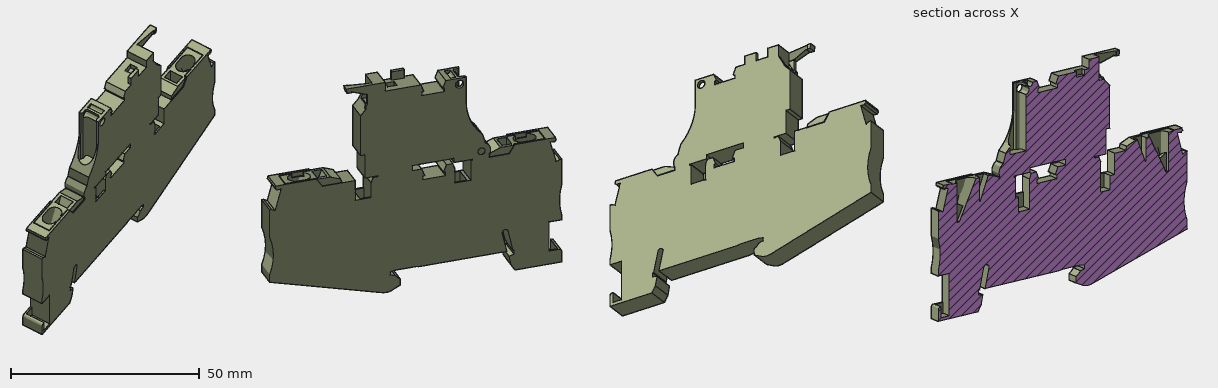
import cadquery as cq
import math

WIDTH = 6.15
LENGTH = 82.5
HEIGHT = 63.38
HALF_WIDTH = WIDTH / 2
HALF_LENGTH = LENGTH / 2

SHOULDER_Z = 37.85
DECK_Z = 35.36
SLOT_FLOOR_Z = 29.4
PLUS_SLOT_Y = (17.06, 12.6)
MINUS_SLOT_Y = (-11.05, -15.55)
DECK_BEVEL_WIDTH = 0.55
DECK_BEVEL_HEIGHT = 1.5
LEDGE_Z = 31.0
GRIP_DEPTH = (1.05, 0.6)
RAIL_SEAT_Z = 6.05
RAIL_RELIEF_Z = 6.22
SHOULDER_INNER_Y = 28.0
SHOULDER_FOOT_Y = 26.35

GROOVE_DEPTH = 3.25
GROOVE_HALF_FLOOR = 3.2
GROOVE_HALF_NECK = 2.65
GROOVE_HALF_MOUTH = 3.5
GROOVE_LIP = 0.95
GROOVE_LIP_RISE = 0.25
DECK_GROOVE_Y = -5.2
PLUG_GROOVE_Y = -4.98

HINGE_Y = -18.6
HINGE_Z = 37.55
HINGE_RADIUS = 2.55
EAR_ROOT_Y = -20.8
PIN_DIAMETER = 2.0
PIN_RECESS = 0.1

WINDOW_Y = ((PLUS_SLOT_Y[1], 15.6), (-14.6, MINUS_SLOT_Y[0]))
WINDOW_X = (-2.6, 2.6)
WINDOW_DEPTH = 4.0

FOOT_NOTCH_Y = -37.65
FOOT_NOTCH_TOP_Z = 12.7
FOOT_TOP_Z = 3.95
FOOT_ROUND_RADIUS = 0.7
FOOT_RIDGE_THICKNESS = 1.0
FOOT_TROUGH_X = -2.55
FOOT_TROUGH_DEPTH = 3.0

SLIT_WIDTH = 1.65
SLIT_TOP = (-25.3, FOOT_NOTCH_TOP_Z - SLIT_WIDTH / 2)
SLIT_BOTTOM = (-26.95, 4.5)
LATCH_TOP_Z = 4.85

INSERT_TOP_Z = SHOULDER_Z - 0.25
INSERT_OUTER_Y = 36.7
INSERT_X = (-2.62, 2.33)
BRIDGE_X = (-2.85, 2.8)
WIRE_HOLE_Y = (28.75, 34.95)
WIRE_HOLE_WIDTH = 3.95
WIRE_HOLE_DEPTH = 11.0
WIRE_HOLE_DRIFT = 5.5
CLAMP_GAP_X = (-0.75, 0.65)
RAMP_TOP_DEPTH = 5.8
RAMP_FOOT_DEPTH = 7.2
RAMP_FOOT_Y = 32.5
RELIEF_Y = (29.9, 33.1)
RELIEF_DEPTH = 1.0
TOOL_HOLE_Y = (24.75, 27.5)
TOOL_HOLE_WIDTH = 3.85
TOOL_HOLE_DEPTH = 7.0

PLUG_TOP_Z = 60.75
PLUG_BOTTOM_Z = 35.6
PLUG_FRONT_Y = -14.3
HOOK_BLOCK_Y = (8.6, 12.0)
CROSS_HOLE_Y = -12.4
CROSS_HOLE_Z = 58.9
CROSS_HOLE_DIAMETER = 2.3
TAB_X = 2.05
TAB_Y = (1.3, 4.9)
TAB_TOP_Z = 63.25
CHANNEL_BACK_Y = -12.3
CHANNEL_END_Y = -17.3
CHANNEL_HALF_WIDTH = 2.15
CHANNEL_FLARE_Y = (-14.4, -13.9)
CHANNEL_MOUTH_HALF_WIDTH = 2.6
CHANNEL_CORNER = 0.6
CHANNEL_FLOOR_Z = 42.0
PLUG_FLANK_START_Z = 53.3
PLUG_FLANK_END = (-18.9, 42.6)
MARKER_SLOT_X = 2.15
MARKER_SLOT_Y = (-11.6, -10.1)
MARKER_SLOT_DEPTH = 1.0
SOCKET_X = (-1.0, 1.1)
SOCKET_Y = (4.55, 7.15)
SOCKET_DEPTH = 1.5
HOOK_POCKET_X = (-2.1, 2.1)
HOOK_POCKET_Y = (HOOK_BLOCK_Y[1], 13.5)
HOOK_POCKET_FLOOR_Z = 56.8
HOOK_ROOT_X = -2.15
HOOK_NECK_X = -1.2
HOOK_TIP_X = -1.0
HOOK_NECK_Y = 18.5
HOOK_TIP_Y = 19.6
SLOPE_TOP_Z = 60.0
BACK_CORNER = (14.1, 56.2)


def box(x_range, y_range, z_range):
    """Axis-aligned block spanning the given ranges."""
    size = [high - low for low, high in (x_range, y_range, z_range)]
    corner = (x_range[0], y_range[0], z_range[0])
    return cq.Workplane("XY").box(*size, centered=False).translate(corner)


def side_plane(x=-HALF_WIDTH):
    """Sketch plane with Y to the right and Z up, facing +X."""
    return cq.Workplane("YZ", origin=(x, 0, 0))


def mirrored_range(y_range, side):
    """Y range on the +Y side (side = 1) or its mirror image (side = -1)."""
    return tuple(sorted(side * y for y in y_range))


def groove_points(center_y, top_z):
    """Undercut jumper groove, listed from its +Y mouth to its -Y mouth."""
    floor_z = top_z - GROOVE_DEPTH
    lip_z = floor_z + GROOVE_LIP
    half = [
        (GROOVE_HALF_MOUTH, top_z),
        (GROOVE_HALF_NECK, lip_z + GROOVE_LIP_RISE),
        (GROOVE_HALF_FLOOR, lip_z),
        (GROOVE_HALF_FLOOR, floor_z),
    ]
    plus_side = [(center_y + y, z) for y, z in half]
    minus_side = [(center_y - y, z) for y, z in reversed(half)]
    return plus_side + minus_side


def end_points(side):
    """Label notch and shoulder of one end, from the ledge up to the deck."""
    points = [
        (HALF_LENGTH, LEDGE_Z),
        (40.7, LEDGE_Z),
        (39.7, 30.5),
        (38.0, 36.7),
        (39.2, 36.6),
        (39.7, 37.1),
        (39.5, SHOULDER_Z),
        (SHOULDER_INNER_Y, SHOULDER_Z),
        (SHOULDER_FOOT_Y, DECK_Z),
    ]
    return [(side * y, z) for y, z in points]


def make_base():
    """Base housing, extruded from its side outline."""
    plus_slot_outer, plus_slot_inner = PLUS_SLOT_Y
    minus_slot_inner, minus_slot_outer = MINUS_SLOT_Y
    deck = [
        (plus_slot_outer, DECK_Z),
        (plus_slot_outer, SLOT_FLOOR_Z),
        (plus_slot_inner, SLOT_FLOOR_Z),
        (plus_slot_inner, DECK_Z - DECK_BEVEL_HEIGHT),
        (plus_slot_inner - DECK_BEVEL_WIDTH, DECK_Z),
        *groove_points(DECK_GROOVE_Y, DECK_Z),
        (minus_slot_inner + DECK_BEVEL_WIDTH, DECK_Z),
        (minus_slot_inner, DECK_Z - DECK_BEVEL_HEIGHT),
        (minus_slot_inner, SLOT_FLOOR_Z),
        (minus_slot_outer, SLOT_FLOOR_Z),
        (minus_slot_outer, DECK_Z),
    ]
    latch_and_rail = [
        (-HALF_LENGTH, 0),
        (-28.0, 0),
        (-26.9, 1.85),
        (-26.35, 4.5),
        (-27.75, LATCH_TOP_Z),
        (-27.75, RAIL_SEAT_Z),
        (-0.85, RAIL_SEAT_Z),
        (-0.3, RAIL_RELIEF_Z),
        (6.0, RAIL_RELIEF_Z),
        (7.15, 5.9),
        (7.15, 5.0),
        (5.8, 4.7),
        (5.1, 3.85),
        (4.35, 3.35),
        (4.35, 1.5),
        (7.0, 0.2),
    ]
    return (
        side_plane()
        .moveTo(HALF_LENGTH, 9.16)
        .lineTo(HALF_LENGTH, 11.55)
        .threePointArc((HALF_LENGTH - GRIP_DEPTH[0], 17.1), (HALF_LENGTH, 22.65))
        .polyline(end_points(1) + deck + end_points(-1)[::-1], includeCurrent=True)
        .lineTo(-HALF_LENGTH, 23.2)
        .threePointArc((GRIP_DEPTH[1] - HALF_LENGTH, 18.75), (-HALF_LENGTH, 14.3))
        .lineTo(-HALF_LENGTH, FOOT_NOTCH_TOP_Z)
        .lineTo(FOOT_NOTCH_Y, FOOT_NOTCH_TOP_Z)
        .lineTo(FOOT_NOTCH_Y, FOOT_TOP_Z)
        .lineTo(FOOT_ROUND_RADIUS - HALF_LENGTH, FOOT_TOP_Z)
        .tangentArcPoint((-HALF_LENGTH, FOOT_TOP_Z - FOOT_ROUND_RADIUS), relative=False)
        .polyline(latch_and_rail, includeCurrent=True)
        .threePointArc((8.2, 0), (9.3, 0.08))
        .close()
        .extrude(WIDTH)
    )


def make_latch_slit():
    """Round-ended slit that frees the spring latch."""
    run_y = SLIT_BOTTOM[0] - SLIT_TOP[0]
    run_z = SLIT_BOTTOM[1] - SLIT_TOP[1]
    across = (-HALF_WIDTH, HALF_WIDTH)
    slit = box(across, (0, math.hypot(run_y, run_z)), (-SLIT_WIDTH / 2, SLIT_WIDTH / 2))
    slit = slit.union(side_plane().circle(SLIT_WIDTH / 2).extrude(WIDTH))
    slit = slit.rotate((0, 0, 0), (1, 0, 0), math.degrees(math.atan2(run_z, run_y)))
    slit = slit.translate((0, *SLIT_TOP))
    above_latch = box(across, (-HALF_LENGTH, 0), (LATCH_TOP_Z, SHOULDER_Z))
    return slit.intersect(above_latch)


def make_foot_trough():
    """Trough behind the rounded ridge of the foot, open towards +X."""
    trough_y = (FOOT_RIDGE_THICKNESS - HALF_LENGTH, FOOT_NOTCH_Y)
    return box((FOOT_TROUGH_X, HALF_WIDTH), trough_y, (FOOT_TOP_Z - FOOT_TROUGH_DEPTH, FOOT_TOP_Z))


def make_wire_hole(side):
    """Round-ended hole with an outward-sloping inner wall, two guide ramps and a side relief."""
    inner_y, outer_y = WIRE_HOLE_Y
    mouth = (
        cq.Workplane("XY", origin=(0, side * (inner_y + outer_y) / 2, INSERT_TOP_Z))
        .slot2D(outer_y - inner_y, WIRE_HOLE_WIDTH, 90)
        .wires()
        .val()
    )
    straight = cq.Solid.extrudeLinear(mouth, [], cq.Vector(0, 0, -WIRE_HOLE_DEPTH))
    tilted = cq.Solid.extrudeLinear(mouth, [], cq.Vector(0, side * WIRE_HOLE_DRIFT, -WIRE_HOLE_DEPTH))
    hole = cq.Workplane(straight).intersect(cq.Workplane(tilted))

    bottom_z = INSERT_TOP_Z - WIRE_HOLE_DEPTH
    ramp_profile = [
        (outer_y, INSERT_TOP_Z - RAMP_TOP_DEPTH),
        (RAMP_FOOT_Y, INSERT_TOP_Z - RAMP_FOOT_DEPTH),
        (RAMP_FOOT_Y, bottom_z),
        (outer_y, bottom_z),
    ]
    for start_x, end_x in ((-HALF_WIDTH, CLAMP_GAP_X[0]), (CLAMP_GAP_X[1], HALF_WIDTH)):
        ramp = (
            side_plane(start_x)
            .polyline([(side * y, z) for y, z in ramp_profile])
            .close()
            .extrude(end_x - start_x)
        )
        hole = hole.cut(ramp)

    relief_z = (INSERT_TOP_Z - RELIEF_DEPTH, INSERT_TOP_Z)
    return hole.union(box((0, INSERT_X[1]), mirrored_range(RELIEF_Y, side), relief_z))


def add_insert(base, side):
    """Connection insert with its wire hole and its tool hole."""
    bridge_profile = [
        (SHOULDER_INNER_Y, INSERT_TOP_Z),
        (24.0, INSERT_TOP_Z),
        (21.1, 36.45),
        (20.75, DECK_Z),
        (SHOULDER_INNER_Y, DECK_Z),
    ]
    bridge = (
        side_plane(BRIDGE_X[0])
        .polyline([(side * y, z) for y, z in bridge_profile])
        .close()
        .extrude(BRIDGE_X[1] - BRIDGE_X[0])
    )
    seat_y = mirrored_range((SHOULDER_FOOT_Y, INSERT_OUTER_Y), side)
    seat = box(INSERT_X, seat_y, (INSERT_TOP_Z, SHOULDER_Z))

    inner_y, outer_y = TOOL_HOLE_Y
    tool_hole = (
        side_plane(-TOOL_HOLE_WIDTH / 2)
        .moveTo(side * inner_y, INSERT_TOP_Z)
        .lineTo(side * outer_y, INSERT_TOP_Z)
        .lineTo(side * outer_y, INSERT_TOP_Z - TOOL_HOLE_DEPTH)
        .close()
        .extrude(TOOL_HOLE_WIDTH)
    )
    return base.cut(seat).union(bridge).cut(make_wire_hole(side)).cut(tool_hole)


def make_plug():
    """Hinged plug body, extruded from its side outline."""
    hook_and_top = [
        (18.0, 62.2),
        (18.1, 62.0),
        (19.35, 62.0),
        (HOOK_TIP_Y, HEIGHT),
        (HOOK_BLOCK_Y[0], HEIGHT),
        (HOOK_BLOCK_Y[0], PLUG_TOP_Z),
    ]
    back = [
        (HINGE_Y, PLUG_BOTTOM_Z),
        (-10.8, PLUG_BOTTOM_Z),
        (-10.8, 36.85),
        (0.9, 36.85),
        (0.9, DECK_Z),
        (10.6, DECK_Z),
        (10.6, PLUG_BOTTOM_Z),
        (14.35, PLUG_BOTTOM_Z),
        (14.35, 42.6),
        (15.6, 42.6),
        (15.6, 54.6),
        BACK_CORNER,
        (14.0, 57.3),
        (13.6, 57.7),
        (13.6, 60.6),
    ]
    return (
        side_plane()
        .polyline(hook_and_top + groove_points(PLUG_GROOVE_Y, PLUG_TOP_Z))
        .lineTo(PLUG_FRONT_Y, PLUG_TOP_Z)
        .lineTo(PLUG_FRONT_Y, PLUG_FLANK_START_Z)
        .tangentArcPoint(PLUG_FLANK_END, relative=False)
        .lineTo(-19.75, 40.0)
        .polyline(back, includeCurrent=True)
        .close()
        .extrude(WIDTH)
    )


def trim_hook(plug):
    """Leave the release hook only along the -X side and open a pocket at its root."""
    block_y = HOOK_BLOCK_Y[1]
    clearance = (
        cq.Workplane("XY", origin=(0, 0, PLUG_TOP_Z))
        .moveTo(HALF_WIDTH, block_y)
        .lineTo(HOOK_ROOT_X, block_y)
        .lineTo(HOOK_NECK_X, HOOK_NECK_Y)
        .lineTo(HOOK_TIP_X, HOOK_NECK_Y)
        .lineTo(HOOK_TIP_X, HOOK_TIP_Y)
        .lineTo(HALF_WIDTH, HOOK_TIP_Y)
        .close()
        .extrude(HEIGHT - PLUG_TOP_Z)
    )
    slope = (
        side_plane(HOOK_ROOT_X)
        .moveTo(block_y, PLUG_TOP_Z)
        .lineTo(block_y, SLOPE_TOP_Z)
        .lineTo(*BACK_CORNER)
        .lineTo(BACK_CORNER[0], PLUG_TOP_Z)
        .close()
        .extrude(HALF_WIDTH - HOOK_ROOT_X)
    )
    pocket = box(HOOK_POCKET_X, HOOK_POCKET_Y, (HOOK_POCKET_FLOOR_Z, PLUG_TOP_Z))
    return plug.cut(clearance).cut(slope).cut(pocket)


def make_channel():
    """Vertical test-probe channel down the front of the plug: flat back, flared mouth, round end."""
    flare_end_y, flare_start_y = CHANNEL_FLARE_Y
    return (
        cq.Workplane("XY", origin=(0, 0, CHANNEL_FLOOR_Z))
        .moveTo(-CHANNEL_MOUTH_HALF_WIDTH, flare_end_y)
        .lineTo(-CHANNEL_HALF_WIDTH, flare_start_y)
        .lineTo(-CHANNEL_HALF_WIDTH, CHANNEL_BACK_Y)
        .lineTo(CHANNEL_HALF_WIDTH, CHANNEL_BACK_Y)
        .lineTo(CHANNEL_HALF_WIDTH, flare_start_y)
        .lineTo(CHANNEL_MOUTH_HALF_WIDTH, flare_end_y)
        .threePointArc((0, CHANNEL_END_Y), (-CHANNEL_MOUTH_HALF_WIDTH, flare_end_y))
        .close()
        .extrude(PLUG_TOP_Z - CHANNEL_FLOOR_Z)
        .edges("|Z and >Y")
        .fillet(CHANNEL_CORNER)
    )


def make_marker_slot():
    """Round-bottomed slot across the top of the front pad."""
    slot_width = MARKER_SLOT_Y[1] - MARKER_SLOT_Y[0]
    center_y = sum(MARKER_SLOT_Y) / 2
    axis_z = PLUG_TOP_Z - MARKER_SLOT_DEPTH + slot_width / 2
    bottom = side_plane(-MARKER_SLOT_X).center(center_y, axis_z).circle(slot_width / 2).extrude(2 * MARKER_SLOT_X)
    return bottom.union(box((-MARKER_SLOT_X, MARKER_SLOT_X), MARKER_SLOT_Y, (axis_z, PLUG_TOP_Z)))


base = make_base().cut(make_latch_slit()).cut(make_foot_trough())
for side in (1, -1):
    base = add_insert(base, side)
for window_y in WINDOW_Y:
    base = base.cut(box(WINDOW_X, window_y, (SLOT_FLOOR_Z - WINDOW_DEPTH, SLOT_FLOOR_Z)))

plug = trim_hook(make_plug())
plug = plug.cut(make_marker_slot()).cut(make_channel())
plug = plug.cut(box(SOCKET_X, SOCKET_Y, (PLUG_TOP_Z - SOCKET_DEPTH, PLUG_TOP_Z)))
cross_hole = side_plane().center(CROSS_HOLE_Y, CROSS_HOLE_Z).circle(CROSS_HOLE_DIAMETER / 2).extrude(WIDTH)
plug = plug.cut(cross_hole)
tab = box((TAB_X, HALF_WIDTH), TAB_Y, (PLUG_TOP_Z, TAB_TOP_Z))

ear = side_plane().center(HINGE_Y, HINGE_Z).circle(HINGE_RADIUS).extrude(WIDTH)
ear_root = box((-HALF_WIDTH, HALF_WIDTH), (EAR_ROOT_Y, HINGE_Y + HINGE_RADIUS), (DECK_Z, HINGE_Z))
pin_end = side_plane().center(HINGE_Y, HINGE_Z).circle(PIN_DIAMETER / 2).extrude(PIN_RECESS)

result = base.union(plug).union(tab).union(ear).union(ear_root).cut(pin_end)